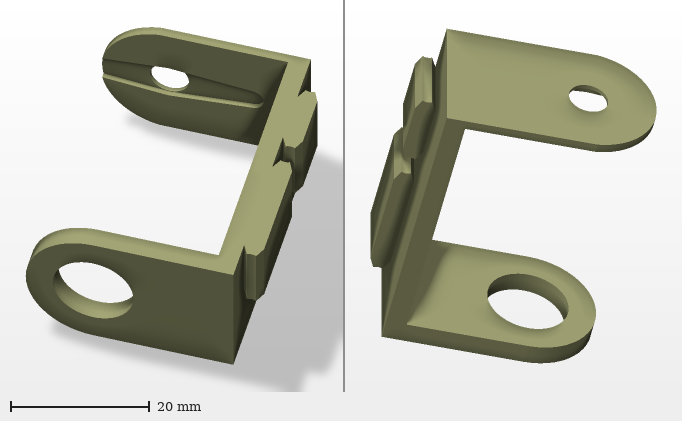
import cadquery as cq

length = 34.0
width = 42.05
height = 20.15
mid_z = height / 2

wall_thickness = 3.03
near_arm_thickness = 3.03
far_arm_thickness = 1.4
lug_depth = 3.0
wall_outer_x = length - lug_depth
wall_inner_x = wall_outer_x - wall_thickness
far_arm_inner_y = width - far_arm_thickness

far_end_radius = 10.17
pivot_x = mid_z
near_end_radius = mid_z
near_hole_diameter = 12.0
far_hole_diameter = 5.8

recess_depth = 0.75
recess_hub_radius = 3.03
recess_end_radius = 1.85
recess_reach = 12.45

lug_inset = 1.6
lug_neck_depth = 0.85
lug_shoulder_depth = 2.23
lug_tip_dip = 0.15
lug_spans = [(4.3, 22.6), (25.3, 36.27)]


def cylinder(x, y_start, radius, thickness):
    """Cylinder along +Y, at mid height."""
    plane = cq.Workplane("XZ", origin=(x, y_start, mid_z))
    return plane.circle(radius).extrude(-thickness)


def block(x_start, x_end, y_start, thickness):
    """Full-height block."""
    size_x = x_end - x_start
    return cq.Workplane("XY").box(size_x, thickness, height, centered=False).translate((x_start, y_start, 0))


def arm(y_start, thickness, end_radius, hole_diameter):
    """Arm with a rounded end, trimmed to the bracket height, and a pivot hole."""
    rounded_end = cylinder(end_radius, y_start, end_radius, thickness)
    rounded_end = rounded_end.intersect(block(0, wall_inner_x, y_start, thickness))
    straight = block(pivot_x, wall_outer_x, y_start, thickness)
    hole = cylinder(pivot_x, y_start, hole_diameter / 2, thickness)
    return rounded_end.union(straight).cut(hole)


def tapered_recess():
    """Hub circle joined by tangent flanks to a smaller circle at either end."""
    sine = (recess_hub_radius - recess_end_radius) / recess_reach
    cosine = (1 - sine**2) ** 0.5
    hub_x = recess_hub_radius * sine
    hub_z = recess_hub_radius * cosine
    end_x = recess_reach + recess_end_radius * sine
    end_z = recess_end_radius * cosine
    tip_x = recess_reach + recess_end_radius
    return (
        cq.Workplane("XZ", origin=(pivot_x, far_arm_inner_y, mid_z))
        .moveTo(hub_x, hub_z)
        .lineTo(end_x, end_z)
        .threePointArc((tip_x, 0), (end_x, -end_z))
        .lineTo(hub_x, -hub_z)
        .threePointArc((0, -recess_hub_radius), (-hub_x, -hub_z))
        .lineTo(-end_x, -end_z)
        .threePointArc((-tip_x, 0), (-end_x, end_z))
        .lineTo(-hub_x, hub_z)
        .threePointArc((0, recess_hub_radius), (hub_x, hub_z))
        .close()
        .extrude(-recess_depth)
    )


def lug(y_start, y_end):
    """Lug with undercut necks, bevelled outer corners and slightly hollow tips."""
    neck_x = wall_outer_x + lug_neck_depth
    shoulder_x = wall_outer_x + lug_shoulder_depth
    dip_x = (neck_x + shoulder_x) / 2
    return (
        cq.Workplane("XY", origin=(0, 0, mid_z))
        .moveTo(wall_inner_x, y_start + lug_inset)
        .lineTo(wall_outer_x, y_start + lug_inset)
        .lineTo(neck_x, y_start)
        .threePointArc((dip_x, y_start + lug_tip_dip), (shoulder_x, y_start))
        .lineTo(length, y_start + lug_inset)
        .lineTo(length, y_end - lug_inset)
        .lineTo(shoulder_x, y_end)
        .threePointArc((dip_x, y_end - lug_tip_dip), (neck_x, y_end))
        .lineTo(wall_outer_x, y_end - lug_inset)
        .lineTo(wall_inner_x, y_end - lug_inset)
        .close()
        .extrude(height - mid_z)
    )


result = block(wall_inner_x, wall_outer_x, 0, width)
result = result.union(arm(0, near_arm_thickness, near_end_radius, near_hole_diameter))
result = result.union(arm(far_arm_inner_y, far_arm_thickness, far_end_radius, far_hole_diameter))
result = result.cut(tapered_recess())
for lug_start, lug_end in lug_spans:
    result = result.union(lug(lug_start, lug_end))